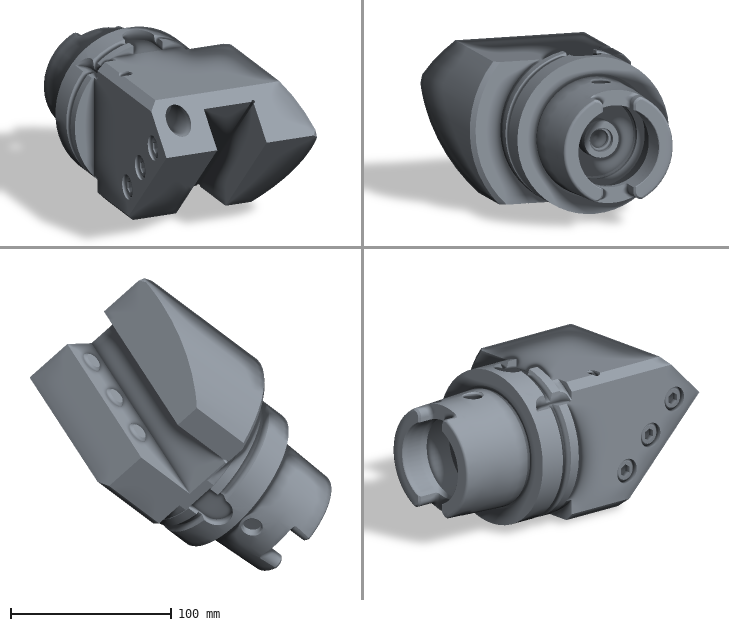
import cadquery as cq
import math

total_length = 190.0

shank_end_radius = 36.0
shank_root_radius = 38.0
shank_end_round = 1.7
relief_start = 47.9
relief_slope = 0.5
relief_radius = 37.2
face_relief_radius = 39.3
face_relief_depth = 0.5

bore_mouth_diameter = 53.8
bore_diameter = 53.0
clamp_groove_start = 20.0
clamp_groove_end = 42.8
clamp_groove_radius = 31.5
clamp_shoulder_angle = 60.0
bore_floor = 46.5
bore_floor_bevel = 1.1
tube_end = 34.0
tube_bevel_length = 2.8
tube_diameter = 24.0
tube_end_diameter = 22.6
tube_hole_diameter = 15.4
tube_hole_depth = 3.8
tube_drill_diameter = 12.0
tube_drill_depth = 7.6
drill_point_angle = 118.0

hex_corner_ratio = 1 / math.cos(math.pi / 6)

access_hole_x = 35.0
access_hole_diameter = 12.0
access_hole_countersink = 14.0

drive_slot_half_width = 9.98
drive_slot_shoulder = 32.5
drive_slot_round = 5.1
drive_slot_floor_fillet = 2.0
drive_slot_edge_chamfer = 1.3
upper_drive_slot_depth = 9.7
lower_drive_slot_depth = 14.8

flange_start = 50.0
flange_end = 79.6
flange_radius = 50.0
groove_radius = 46.0
groove_start = 66.5
groove_floor_start = 68.4
groove_floor_end = 71.6
groove_end = 73.2
key_width = 20.0
key_start = 55.1
key_floor = 43.1
notch_start = 54.5
notch_end = 83.8
notch_wall_y = -31.7
notch_floor_z = 32.0
notch_end_round = 4.0

neck_radius = 49.4
head_start = 85.0
head_radius = 68.5
head_edge_chamfer = 2.8
head_top = 43.3
head_bottom = -47.7
head_front = -36.9
head_front_chamfer = 5.1
tip_z = 15.0
upper_slope_sum = total_length + tip_z
lower_slope_difference = total_length - tip_z

pocket_depth = 29.0
pocket_front = -2.0
pocket_back = 31.7
pocket_relief_radius = 1.1

screw_count = 3
screw_pitch = 27.5
first_screw_to_upper_slope = 14.6
screw_diameter = 16.0
screw_recess = 1.5
screw_face_diameter = 12.0
screw_socket_width = 6.8
screw_socket_depth = 3.8
screw_tip_y = -0.2
screw_tip_diameter = 10.5

outlet_diameter = 16.0
outlet_y = -21.0
outlet_z = 32.0
outlet_depth = 28.5
vent_x = 109.8
vent_offset = 1.9
vent_diameter = 7.0
vent_depth = 5.5
vent_socket_width = 3.5
vent_socket_depth = 1.9


def revolve_about_x(points):
    """Turn a closed (x, radius) outline about the X axis."""
    return cq.Workplane("XY").polyline(points).close().revolve(360, (0, 0, 0), (1, 0, 0))


def block(x_range, y_range, z_range):
    """Box between two limits on each axis."""
    lengths = [high - low for low, high in (x_range, y_range, z_range)]
    corner = (x_range[0], y_range[0], z_range[0])
    return cq.Workplane("XY").box(*lengths, centered=False).translate(corner)


def cone_depth(diameter):
    """Height of a drill point of the given diameter."""
    return diameter / 2 / math.tan(math.radians(drill_point_angle / 2))


def make_shank_and_flange():
    """Solid taper shank and grooved flange, with an undercut where they meet."""
    outline = [
        (0, 0),
        (0, shank_end_radius),
        (relief_start, shank_root_radius),
        (relief_start + relief_slope, relief_radius),
        (flange_start + face_relief_depth, relief_radius),
        (flange_start, face_relief_radius),
        (flange_start, flange_radius),
        (groove_start, flange_radius),
        (groove_floor_start, groove_radius),
        (groove_floor_end, groove_radius),
        (groove_end, flange_radius),
        (flange_end, flange_radius),
        (flange_end, 0),
    ]
    return revolve_about_x(outline).faces("<X").edges().fillet(shank_end_round)


def make_bore():
    """Bore with a bevelled mouth and an inner clamping groove behind a sloping shoulder."""
    mouth_radius = bore_mouth_diameter / 2
    bore_radius = bore_diameter / 2
    shoulder_rise = clamp_groove_radius - bore_radius
    shoulder_length = shoulder_rise / math.tan(math.radians(clamp_shoulder_angle))
    return revolve_about_x([
        (0, 0),
        (0, mouth_radius),
        (mouth_radius - bore_radius, bore_radius),
        (clamp_groove_start, bore_radius),
        (clamp_groove_start + shoulder_length, clamp_groove_radius),
        (clamp_groove_end, clamp_groove_radius),
        (clamp_groove_end, bore_radius),
        (bore_floor - bore_floor_bevel, bore_radius),
        (bore_floor, bore_radius - bore_floor_bevel),
        (bore_floor, 0),
    ])


def make_coolant_tube():
    """Bevelled tube stub with a stepped hole that ends in a drill point."""
    hole_floor = tube_end + tube_hole_depth
    drill_floor = tube_end + tube_drill_depth
    return revolve_about_x([
        (tube_end, tube_hole_diameter / 2),
        (tube_end, tube_end_diameter / 2),
        (tube_end + tube_bevel_length, tube_diameter / 2),
        (flange_end, tube_diameter / 2),
        (flange_end, 0),
        (drill_floor + cone_depth(tube_drill_diameter), 0),
        (drill_floor, tube_drill_diameter / 2),
        (hole_floor, tube_drill_diameter / 2),
        (hole_floor, tube_hole_diameter / 2),
    ])


def drive_slot_outline(x, spread):
    """Slot outline at x: straight walls flaring over rounded shoulders, widened by the spread."""
    half_width = drive_slot_half_width + spread
    round_radius = drive_slot_round - spread
    shoulder = drive_slot_shoulder - spread
    round_start = shoulder - round_radius
    flare = half_width + round_radius
    mid_y = flare - round_radius * math.sqrt(0.5)
    mid_z = round_start + round_radius * math.sqrt(0.5)
    return (
        cq.Workplane("YZ", origin=(x, 0, 0))
        .moveTo(-half_width, 0)
        .lineTo(-half_width, round_start)
        .threePointArc((-mid_y, mid_z), (-flare, shoulder))
        .lineTo(-flange_radius, shoulder)
        .lineTo(-flange_radius, flange_radius)
        .lineTo(flange_radius, flange_radius)
        .lineTo(flange_radius, shoulder)
        .lineTo(flare, shoulder)
        .threePointArc((mid_y, mid_z), (half_width, round_start))
        .lineTo(half_width, 0)
        .close()
    )


def make_drive_slot(depth):
    """Slot opening upward from the bore, with a filleted floor and a bevelled mouth."""
    slot = drive_slot_outline(0, 0).extrude(depth)
    slot = slot.faces(">X").edges().fillet(drive_slot_floor_fillet)
    mouth = drive_slot_outline(0, drive_slot_edge_chamfer).val()
    throat = drive_slot_outline(drive_slot_edge_chamfer, 0).val()
    return slot.union(cq.Workplane(cq.Solid.makeLoft([mouth, throat], True)))


def make_access_hole():
    """Hole through both shank walls with a 45 degree countersink at each outer end."""
    taper = (shank_root_radius - shank_end_radius) / relief_start
    surface_z = shank_end_radius + taper * access_hole_x
    sink_depth = (access_hole_countersink - access_hole_diameter) / 2
    hole_radius = access_hole_diameter / 2
    sink_radius = access_hole_countersink / 2
    half = (
        cq.Workplane("XZ")
        .polyline([
            (0, 0),
            (hole_radius, 0),
            (hole_radius, surface_z - sink_depth),
            (sink_radius, surface_z),
            (sink_radius, flange_radius),
            (0, flange_radius),
        ])
        .close()
        .revolve(360, (0, 0, 0), (0, 1, 0))
    )
    return half.union(half.mirror("XY")).translate((access_hole_x, 0, 0))


def make_key_slot():
    """Round-ended key slot in the top of the flange."""
    radius = key_width / 2
    center_x = key_start + radius
    height = flange_radius - key_floor
    floor = cq.Workplane("XY", origin=(0, 0, key_floor))
    rounded_end = floor.center(center_x, 0).circle(radius).extrude(height)
    straight = block((center_x, flange_end), (-radius, radius), (key_floor, flange_radius))
    return rounded_end.union(straight)


def make_orientation_notch():
    """Corner notch on the upper front of the flange, with rounded ends."""
    notch = block(
        (notch_start, notch_end),
        (notch_wall_y - key_width, notch_wall_y),
        (notch_floor_z, flange_radius),
    )
    notch = notch.edges("|Z and >Y and <X").fillet(key_width / 2)
    return notch.edges("|Z and >Y and >X").fillet(notch_end_round)


def make_side_profile():
    """Head side outline with its two 45 degree sloping faces."""
    return (
        cq.Workplane("XZ")
        .polyline([
            (flange_end, head_bottom),
            (lower_slope_difference + head_bottom, head_bottom),
            (total_length, tip_z),
            (upper_slope_sum - head_top, head_top),
            (flange_end, head_top),
        ])
        .close()
        .extrude(head_radius, both=True)
    )


def make_head():
    """Bevelled round blank with a neck, trimmed to flat sides and a pointed end."""
    blank = cq.Workplane("YZ", origin=(head_start, 0, 0)).circle(head_radius)
    head = blank.extrude(total_length - head_start)
    head = head.faces("<X or >X").edges().chamfer(head_edge_chamfer)
    neck = cq.Workplane("YZ", origin=(flange_end, 0, 0)).circle(neck_radius)
    head = head.union(neck.extrude(head_start - flange_end))
    section = block(
        (flange_end, total_length), (head_front, head_radius), (head_bottom, head_top)
    ).edges("|X and <Y").chamfer(head_front_chamfer)
    head = head.intersect(section)
    return head.intersect(make_side_profile())


def slope_point(down, inward):
    """World (x, z) a distance down the lower slope and inward from it, from the tip."""
    root = math.sqrt(0.5)
    return (total_length - (down + inward) * root, tip_z + (inward - down) * root)


def make_tool_pocket():
    """Square channel along the lower slope, with a relief in its back corner."""
    reach = total_length
    channel = (
        cq.Workplane("XZ", origin=(0, pocket_back, 0))
        .polyline([
            slope_point(-reach, 0),
            slope_point(reach, 0),
            slope_point(reach, pocket_depth),
            slope_point(-reach, pocket_depth),
        ])
        .close()
        .extrude(pocket_back - pocket_front)
    )
    relief_x, relief_z = slope_point(-reach, pocket_depth)
    relief_plane = cq.Plane(
        origin=(relief_x, pocket_back, relief_z), xDir=(0, 1, 0), normal=(-1, 0, -1)
    )
    relief = cq.Workplane(relief_plane).circle(pocket_relief_radius).extrude(2 * reach)
    return channel.union(relief)


def front_workplane(x, z, y):
    """Plane at the given y whose normal points into the head from the front."""
    return cq.Workplane(cq.Plane(origin=(x, y, z), xDir=(1, 0, 0), normal=(0, 1, 0)))


def screw_positions():
    """World (x, z) of the screw axes, evenly spaced along the middle of the tool pocket."""
    middle = pocket_depth / 2
    return [
        slope_point(first_screw_to_upper_slope + i * screw_pitch, middle)
        for i in range(screw_count)
    ]


def make_screw_recess(x, z):
    """Recess around one bevelled screw end, with its hex socket and drill point."""
    bevel = (screw_diameter - screw_face_diameter) / 2
    screw_face = head_front + screw_recess
    recess = front_workplane(x, z, head_front).circle(screw_diameter / 2).extrude(screw_recess + bevel)
    screw_end = cq.Solid.makeCone(
        screw_face_diameter / 2, screw_diameter / 2, bevel,
        cq.Vector(x, screw_face, z), cq.Vector(0, 1, 0),
    )
    corner_diameter = screw_socket_width * hex_corner_ratio
    socket = (
        front_workplane(x, z, screw_face)
        .transformed(rotate=(0, 0, 30))
        .polygon(6, corner_diameter)
        .extrude(screw_socket_depth)
    )
    point = cq.Solid.makeCone(
        screw_socket_width / 2, 0, cone_depth(screw_socket_width),
        cq.Vector(x, screw_face + screw_socket_depth, z), cq.Vector(0, 1, 0),
    )
    return recess.cut(cq.Workplane(screw_end)).union(socket).union(cq.Workplane(point))


def make_screw_tip(x, z):
    """Bevelled screw end that stands into the tool pocket."""
    bevel = (screw_diameter - screw_tip_diameter) / 2
    tip = cq.Solid.makeCone(
        screw_diameter / 2, screw_tip_diameter / 2, bevel,
        cq.Vector(x, screw_tip_y - bevel, z), cq.Vector(0, 1, 0),
    )
    return cq.Workplane(tip)


def make_coolant_outlet():
    """Blind hole along X that opens in the upper sloping face."""
    mouth_x = upper_slope_sum - outlet_z
    plane = cq.Workplane("YZ", origin=(mouth_x - outlet_depth, outlet_y, outlet_z))
    return plane.circle(outlet_diameter / 2).extrude(total_length)


def make_vent():
    """Plugged bore with a hex socket, square to the front top chamfer and near its upper edge."""
    shift = vent_offset * math.sqrt(0.5)
    mouth = (vent_x, head_front + head_front_chamfer + shift, head_top + shift)
    plane = cq.Workplane(cq.Plane(origin=mouth, xDir=(1, 0, 0), normal=(0, 1, -1)))
    recess = plane.circle(vent_diameter / 2).extrude(vent_depth)
    corner_diameter = vent_socket_width * hex_corner_ratio
    socket = plane.polygon(6, corner_diameter).extrude(vent_depth + vent_socket_depth)
    return recess.union(socket)


upper_drive_slot = make_drive_slot(upper_drive_slot_depth)
lower_drive_slot = make_drive_slot(lower_drive_slot_depth).rotate((0, 0, 0), (1, 0, 0), 180)
upper_key_slot = make_key_slot()
lower_key_slot = upper_key_slot.rotate((0, 0, 0), (1, 0, 0), 180)

result = make_shank_and_flange().cut(make_bore())
result = result.cut(upper_drive_slot).cut(lower_drive_slot)
result = result.cut(make_access_hole()).union(make_coolant_tube())
result = result.cut(upper_key_slot).cut(lower_key_slot)
result = result.union(make_head().cut(make_tool_pocket()))
result = result.cut(make_orientation_notch())
for screw_x, screw_z in screw_positions():
    result = result.cut(make_screw_recess(screw_x, screw_z))
    result = result.union(make_screw_tip(screw_x, screw_z))
result = result.cut(make_coolant_outlet()).cut(make_vent())